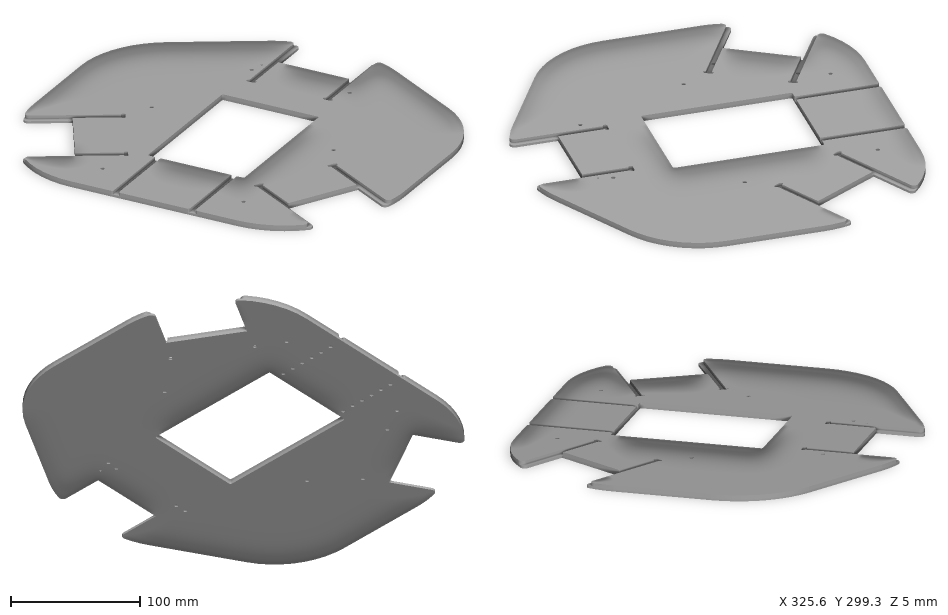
import cadquery as cq
import math

THICKNESS = 5.0
STEP_DEPTH = 3.0
STEP_Z = THICKNESS - STEP_DEPTH
OVERCUT = 3.3
TOLERANCE = 0.03

WING_FLAT_DISTANCE = 162.8
WING_FLAT_LOW_Y = -29.5
BOTTOM_Y = -135.5
BOTTOM_FLAT_HALF_LENGTH = 73.0
CORNER_RADIUS = 78.0
WING_ARC_TURN = 25
TAIL_ARC_TURN = 55
TIP_RADIUS = 3.5

ARM_ANGLES = (90, 210, 330)
WING_AXIS_ANGLE = 30
ARM_LENGTH = 126.0
NOTCH_HALF_WIDTH = 32.2
NOTCH_REACH = 97.7
GROOVE_OFFSET = 33.5
GROOVE_WIDTH = 5.0
GROOVE_INNER_END = 85.0
GROOVE_OUTER_SIDE = GROOVE_OFFSET + GROOVE_WIDTH / 2
CORNER_RELIEF_RADIUS = 1.5

TAIL_GROOVE_START_Y = BOTTOM_Y - 2.5

WINDOW_WIDTH = 84.5
WINDOW_TOP_Y = 55.7
WINDOW_BOTTOM_Y = -66.7
WINDOW_HEIGHT = WINDOW_TOP_Y - WINDOW_BOTTOM_Y
WINDOW_CORNER_RADIUS = 1.3

HOLE_DIAMETER = 3.3
PIN_HOLE_DIAMETER = 2.0
PIN_HOLE_POSITION = (-40.0, 116.0)
ARM_HOLE_DISTANCE = 105.0
TAIL_HOLE_COUNT = 6
TAIL_HOLE_PITCH = 10.0
TAIL_HOLE_FIRST_Y = -73.3
PLATE_HOLES = ((43.0, 104.5), (79.8, 9.5), (62.0, -104.0))


def on_circle(center, degrees):
    """Point of a corner arc in the given direction from its center."""
    angle = math.radians(degrees)
    return (center[0] + CORNER_RADIUS * math.cos(angle), center[1] + CORNER_RADIUS * math.sin(angle))


def turned(point, degrees):
    """Point rotated about the origin."""
    angle = math.radians(degrees)
    x, y = point
    return (x * math.cos(angle) - y * math.sin(angle), x * math.sin(angle) + y * math.cos(angle))


def add_arc(outline, center, start, end):
    """Continue an outline to a corner arc and along it."""
    return outline.lineTo(*on_circle(center, start)).threePointArc(
        on_circle(center, (start + end) / 2), on_circle(center, end)
    )


def outer_layer(height):
    """Whole plate without notches; the outline crosses the notch areas in straight lines."""
    wing_center_x = WING_FLAT_DISTANCE - CORNER_RADIUS
    tail_center = (BOTTOM_FLAT_HALF_LENGTH, BOTTOM_Y + CORNER_RADIUS)
    low_center = (wing_center_x, WING_FLAT_LOW_Y)
    middle_center = (wing_center_x, wing_center_x * math.tan(math.radians(WING_AXIS_ANGLE)))
    high_center = turned((low_center[0], -low_center[1]), 2 * WING_AXIS_ANGLE)

    right_arcs = (
        (tail_center, -90, TAIL_ARC_TURN - 90),
        (low_center, -WING_ARC_TURN, 0),
        (middle_center, 0, 2 * WING_AXIS_ANGLE),
        (high_center, 2 * WING_AXIS_ANGLE, 2 * WING_AXIS_ANGLE + WING_ARC_TURN),
    )
    outline = cq.Workplane("XY").moveTo(0, BOTTOM_Y)
    for center, start, end in right_arcs:
        outline = add_arc(outline, center, start, end)
    for (x, y), start, end in reversed(right_arcs):
        outline = add_arc(outline, (-x, y), 180 - end, 180 - start)
    return outline.close().extrude(height)


def notched_layer(height, notch_half_width):
    """Layer of the plate with the arm notches cut and the wing tips rounded."""
    layer = outer_layer(height)
    notch = (
        cq.Workplane("XY")
        .center(ARM_LENGTH + NOTCH_REACH / 2, 0)
        .rect(NOTCH_REACH, 2 * notch_half_width)
        .extrude(height)
    )
    for angle in ARM_ANGLES:
        layer = layer.cut(notch.rotate((0, 0, 0), (0, 0, 1), angle))

    tips = cq.Workplane("XY")
    for edge in layer.edges("|Z").vals():
        center = edge.Center()
        for angle in ARM_ANGLES:
            along, across = turned((center.x, center.y), -angle)
            if along > ARM_LENGTH + OVERCUT and abs(abs(across) - notch_half_width) < TOLERANCE:
                tips = tips.add(edge)
    return layer.newObject(tips.vals()).fillet(TIP_RADIUS)


def groove_cutter(start, end, offset):
    """Groove along X, with small round corner reliefs just inside its start."""
    relief_centers = [
        (start + CORNER_RELIEF_RADIUS, offset + side * GROOVE_WIDTH / 2) for side in (-1, 1)
    ]
    groove = (
        cq.Workplane("XY", origin=(0, 0, STEP_Z))
        .center((start + end) / 2, offset)
        .rect(end - start, GROOVE_WIDTH)
        .extrude(STEP_DEPTH)
    )
    reliefs = (
        cq.Workplane("XY", origin=(0, 0, STEP_Z))
        .pushPoints(relief_centers)
        .circle(CORNER_RELIEF_RADIUS)
        .extrude(STEP_DEPTH)
    )
    return groove.union(reliefs)


def drill(plate, points, diameter):
    """Round holes through the full thickness."""
    holes = cq.Workplane("XY").pushPoints(points).circle(diameter / 2).extrude(THICKNESS)
    return plate.cut(holes)


upper = notched_layer(STEP_DEPTH, GROOVE_OUTER_SIDE).translate((0, 0, STEP_Z))
result = notched_layer(STEP_Z, NOTCH_HALF_WIDTH).union(upper)

window = (
    cq.Workplane("XY")
    .center(0, (WINDOW_TOP_Y + WINDOW_BOTTOM_Y) / 2)
    .rect(WINDOW_WIDTH, WINDOW_HEIGHT)
    .extrude(THICKNESS)
    .edges("|Z")
    .fillet(WINDOW_CORNER_RADIUS)
)
result = result.cut(window)

for angle in ARM_ANGLES:
    for offset in (-GROOVE_OFFSET, GROOVE_OFFSET):
        cutter = groove_cutter(GROOVE_INNER_END, ARM_LENGTH + OVERCUT, offset)
        result = result.cut(cutter.rotate((0, 0, 0), (0, 0, 1), angle))
        result = drill(result, [turned((ARM_HOLE_DISTANCE, offset), angle)], HOLE_DIAMETER)

for offset in (-GROOVE_OFFSET, GROOVE_OFFSET):
    cutter = groove_cutter(TAIL_GROOVE_START_Y, WINDOW_BOTTOM_Y, -offset)
    result = result.cut(cutter.rotate((0, 0, 0), (0, 0, 1), 90))
    row = [(offset, TAIL_HOLE_FIRST_Y - i * TAIL_HOLE_PITCH) for i in range(TAIL_HOLE_COUNT)]
    result = drill(result, row, HOLE_DIAMETER)

for side in (-1, 1):
    result = drill(result, [(side * x, y) for x, y in PLATE_HOLES], HOLE_DIAMETER)
result = drill(result, [PIN_HOLE_POSITION], PIN_HOLE_DIAMETER)